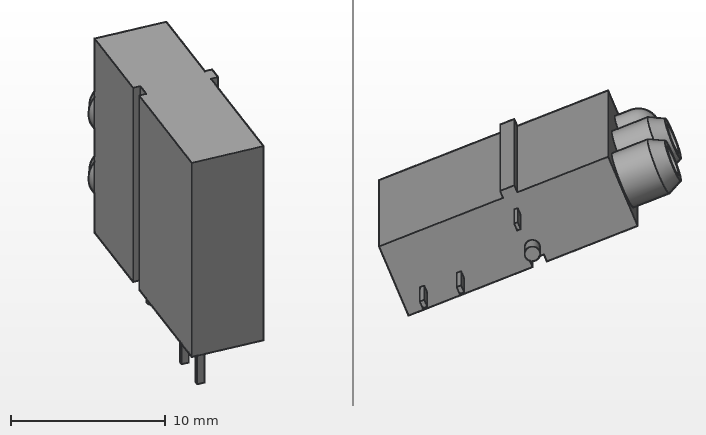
import cadquery as cq

HOUSING_LENGTH = 16.0
HOUSING_WIDTH = 5.05
HOUSING_HEIGHT = 15.0

INTERLOCK_X = 6.85
INTERLOCK_WIDTH = 1.0
INTERLOCK_DEPTH = 0.5

AXIS_Y = HOUSING_WIDTH / 2
FIRST_AXIS_Z = 2.5
AXIS_PITCH = 5.0
SOCKET_COUNT = 2
DOME_Z = FIRST_AXIS_Z + SOCKET_COUNT * AXIS_PITCH

OVERALL_LENGTH = 19.5
SOCKET_LENGTH = OVERALL_LENGTH - HOUSING_LENGTH
SOCKET_TAPER_LENGTH = 1.0
SOCKET_RADIUS = 1.9
SOCKET_TIP_RADIUS = 1.4
SOCKET_BORE_RADIUS = 1.0

DOME_RADIUS = 1.4
DOME_REACH = 2.5

POST_Y = 1.25
POST_DIAMETER = 1.0
POST_LENGTH = 1.5

PIN_LENGTH = 3.2
PIN_DEPTH = 0.5
FRONT_PIN_WIDTH = 0.25
FRONT_PIN_Y = 3.8
REAR_PIN_WIDTH = 0.31
REAR_PIN_X = 11.88
REAR_PIN_PITCH = 2.57


def make_interlock_bar(start_y):
    """Full-height bar that forms the rib or cuts the groove."""
    return (
        cq.Workplane("XY")
        .box(INTERLOCK_WIDTH, INTERLOCK_DEPTH, HOUSING_HEIGHT, centered=(True, False, False))
        .translate((INTERLOCK_X, start_y, 0))
    )


def make_dome():
    """Round-ended lamp lens that stands out from the front face."""
    shoulder_x = DOME_RADIUS - DOME_REACH
    cylinder = cq.Workplane("YZ").circle(DOME_RADIUS).extrude(shoulder_x)
    cap = cq.Workplane("XY").sphere(DOME_RADIUS).translate((shoulder_x, 0, 0))
    front_half = (
        cq.Workplane("YZ")
        .workplane(offset=shoulder_x)
        .rect(2 * DOME_RADIUS, 2 * DOME_RADIUS)
        .extrude(-DOME_RADIUS)
    )
    return cylinder.union(cap.intersect(front_half)).translate((0, AXIS_Y, DOME_Z))


def make_post():
    """Round locating post under the housing."""
    return (
        cq.Workplane("XY")
        .center(INTERLOCK_X, POST_Y)
        .circle(POST_DIAMETER / 2)
        .extrude(-POST_LENGTH)
    )


def make_housing():
    """Block with its rib, groove, lamp dome and locating post."""
    block = cq.Workplane("XY").box(HOUSING_LENGTH, HOUSING_WIDTH, HOUSING_HEIGHT, centered=False)
    block = block.union(make_interlock_bar(HOUSING_WIDTH))
    block = block.cut(make_interlock_bar(0))
    return block.union(make_dome()).union(make_post())


def make_socket(axis_z):
    """Tapered tube standing on the front face, with its bore open to the face."""
    profile = [
        (0, SOCKET_BORE_RADIUS),
        (0, SOCKET_RADIUS),
        (SOCKET_TAPER_LENGTH - SOCKET_LENGTH, SOCKET_RADIUS),
        (-SOCKET_LENGTH, SOCKET_TIP_RADIUS),
        (-SOCKET_LENGTH, SOCKET_BORE_RADIUS),
    ]
    tube = cq.Workplane("XY").polyline(profile).close().revolve(360, (0, 0), (1, 0))
    return tube.translate((0, AXIS_Y, axis_z))


def make_pin(x, y, width):
    """Flat terminal pin hanging from the underside."""
    return cq.Workplane("XY").center(x, y).rect(width, PIN_DEPTH).extrude(-PIN_LENGTH)


housing = make_housing()
sockets = [make_socket(FIRST_AXIS_Z + i * AXIS_PITCH) for i in range(SOCKET_COUNT)]
pins = [
    make_pin(INTERLOCK_X, FRONT_PIN_Y, FRONT_PIN_WIDTH),
    make_pin(REAR_PIN_X, POST_Y, REAR_PIN_WIDTH),
    make_pin(REAR_PIN_X + REAR_PIN_PITCH, POST_Y, REAR_PIN_WIDTH),
]

result = cq.Compound.makeCompound([body.val() for body in [housing, *sockets, *pins]])